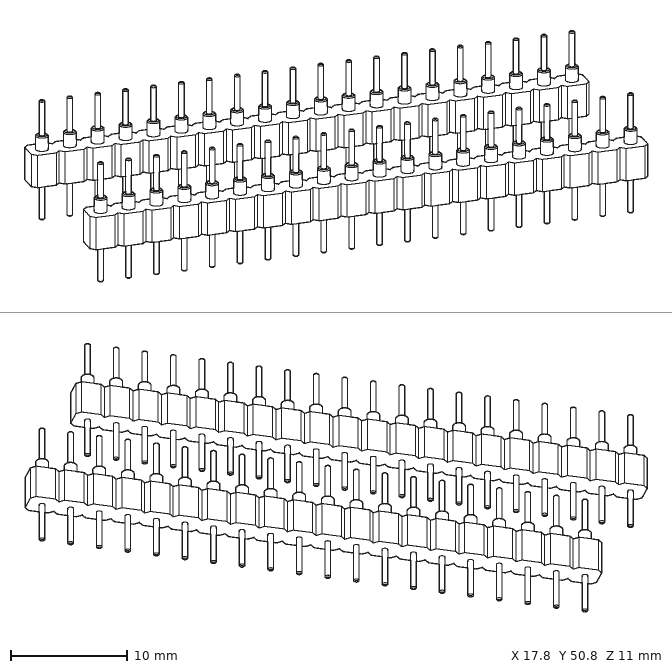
import cadquery as cq

strip_length = 50.8
pin_count = 20
row_spacing = 15.25
pitch = strip_length / pin_count

cell_width = pitch
corner_cut = 0.4
insulator_height = 3.0

pin_diameter = 0.5
tip_chamfer = 0.1
lower_tail_length = 3.5
upper_tail_length = 3.2
collar_diameter = 1.1
collar_height = 1.3
collar_chamfer = 0.1
collar_top = insulator_height + collar_height
pin_length = lower_tail_length + collar_top + upper_tail_length


def make_insulator():
    """Row of chamfered cells, with V notches on both sides between neighbours."""
    half_width = cell_width / 2
    insulator = (
        cq.Workplane("XY")
        .rect(cell_width, strip_length)
        .extrude(insulator_height)
        .edges("|Z")
        .chamfer(corner_cut)
    )
    for gap in range(1, pin_count):
        gap_y = gap * pitch - strip_length / 2
        for side in (-1, 1):
            notch = (
                cq.Workplane("XY")
                .moveTo(side * half_width, gap_y - corner_cut)
                .lineTo(side * (half_width - corner_cut), gap_y)
                .lineTo(side * half_width, gap_y + corner_cut)
                .close()
                .extrude(insulator_height)
            )
            insulator = insulator.cut(notch)
    return insulator


def make_pin():
    """One round pin with chamfered tips; its collar passes down through the insulator."""
    shaft = (
        cq.Workplane("XY", origin=(0, 0, -lower_tail_length))
        .circle(pin_diameter / 2)
        .extrude(pin_length)
        .faces("<Z or >Z")
        .chamfer(tip_chamfer)
    )
    collar = (
        cq.Workplane("XY")
        .circle(collar_diameter / 2)
        .extrude(collar_top)
        .faces(">Z")
        .chamfer(collar_chamfer)
    )
    return shaft.union(collar)


def make_header_strip(row_x):
    """One header strip: insulator and its pins as a single solid, placed at its row."""
    strip = make_insulator()
    pin = make_pin()
    for index in range(pin_count):
        pin_y = (index + 0.5) * pitch - strip_length / 2
        strip = strip.union(pin.translate((0, pin_y, 0)))
    return strip.translate((row_x, 0, 0))


header_strips = [make_header_strip(side * row_spacing / 2) for side in (-1, 1)]

result = cq.Compound.makeCompound([strip.solids().val() for strip in header_strips])